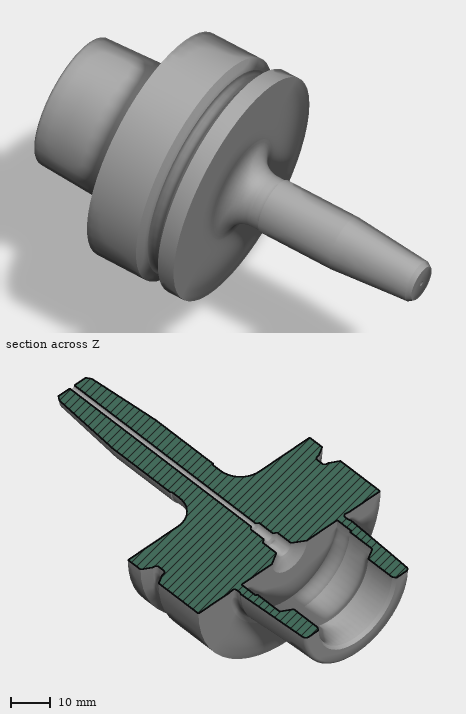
import cadquery as cq
import math


flange_radius = 31.5
flange_width = 26.0
groove_center = 18.0
groove_slot_half_width = 1.7
groove_floor_radius = 27.5
groove_corner_radius = 0.85
groove_slot_top_radius = 28.75
groove_wall_angle = 60.0

shank_length = 25.0
shank_end_radius = 18.0
shank_end_fillet = 1.0
taper_slope = 1 / 20
taper_large_x = -2.4

neck_radius = 18.8
neck_start_x = -1.6
undercut_fillet = 0.8
undercut_depth = 0.2
undercut_outer_radius = 20.8

stem_fillet = 7.0
stem_neck_radius = 7.1
stem_radius = 7.43
stem_start_x = 35.8
stem_taper_x = 57.0
stem_length = 80.0
tip_radius = 5.65
tip_chamfer_length = 1.3
tip_face_radius = 4.75

mouth_radius = 13.45
mouth_chamfer_length = 1.0
land_radius = 12.85
land_depth = 9.8
cavity_radius = 16.0
cavity_depth = 19.9
relief_radius = 16.5
bore_depth = 25.0
undercut_wall_angle = 60.0

drill_half_angle = 59.0
drill_radii = [6.0, 2.5, 1.5, 0.75]
drill_step_length = 5.0


def holder_profile():
    """Closed outline of the solid holder, from the axis at the shank end to the tip."""
    arc_middle = math.sqrt(0.5)
    taper_start_x = -shank_length + shank_end_fillet
    taper_large_radius = shank_end_radius + taper_slope * (taper_large_x - taper_start_x)
    wall_run = (flange_radius - groove_slot_top_radius) / math.tan(math.radians(groove_wall_angle))
    groove_half_width = groove_slot_half_width + wall_run
    slot_left = groove_center - groove_slot_half_width
    slot_right = groove_center + groove_slot_half_width
    corner_bulge = groove_corner_radius * (1 - arc_middle)
    corner_top = groove_floor_radius + groove_corner_radius
    stem_fillet_bulge = stem_fillet * (1 - arc_middle)
    end_bulge = shank_end_fillet * (1 - arc_middle)
    undercut_start_x = undercut_depth - undercut_fillet
    undercut_bulge = undercut_fillet * (1 - arc_middle)

    outline = cq.Workplane("XY").moveTo(-shank_length, 0)

    outline = (
        outline.lineTo(-shank_length, shank_end_radius - shank_end_fillet)
        .threePointArc(
            (-shank_length + end_bulge, shank_end_radius - end_bulge),
            (taper_start_x, shank_end_radius),
        )
        .lineTo(taper_large_x, taper_large_radius)
    )

    outline = (
        outline.lineTo(neck_start_x, neck_radius)
        .lineTo(undercut_start_x, neck_radius)
        .threePointArc(
            (undercut_depth - undercut_bulge, neck_radius + undercut_bulge),
            (undercut_depth, neck_radius + undercut_fillet),
        )
        .lineTo(0, undercut_outer_radius)
    )

    outline = (
        outline.lineTo(0, flange_radius)
        .lineTo(groove_center - groove_half_width, flange_radius)
        .lineTo(slot_left, groove_slot_top_radius)
        .lineTo(slot_left, corner_top)
        .threePointArc(
            (slot_left + corner_bulge, groove_floor_radius + corner_bulge),
            (slot_left + groove_corner_radius, groove_floor_radius),
        )
        .lineTo(slot_right - groove_corner_radius, groove_floor_radius)
        .threePointArc(
            (slot_right - corner_bulge, groove_floor_radius + corner_bulge),
            (slot_right, corner_top),
        )
        .lineTo(slot_right, groove_slot_top_radius)
        .lineTo(groove_center + groove_half_width, flange_radius)
        .lineTo(flange_width, flange_radius)
    )

    return (
        outline.lineTo(flange_width, stem_neck_radius + stem_fillet)
        .threePointArc(
            (flange_width + stem_fillet_bulge, stem_neck_radius + stem_fillet_bulge),
            (flange_width + stem_fillet, stem_neck_radius),
        )
        .lineTo(stem_start_x, stem_neck_radius)
        .lineTo(stem_start_x, stem_radius)
        .lineTo(stem_taper_x, stem_radius)
        .lineTo(stem_length - tip_chamfer_length, tip_radius)
        .lineTo(stem_length, tip_face_radius)
        .lineTo(stem_length, 0)
        .close()
    )


def bore_profile():
    """Closed outline of the clamping bore and the stepped coolant passage behind it."""
    mouth_x = -shank_length
    land_end_x = mouth_x + land_depth
    cavity_wall_run = (cavity_radius - land_radius) / math.tan(math.radians(undercut_wall_angle))
    cavity_end_x = mouth_x + cavity_depth
    floor_x = mouth_x + bore_depth

    outline = (
        cq.Workplane("XY")
        .moveTo(mouth_x, 0)
        .lineTo(mouth_x, mouth_radius)
        .lineTo(mouth_x + mouth_chamfer_length, land_radius)
        .lineTo(land_end_x, land_radius)
        .lineTo(land_end_x + cavity_wall_run, cavity_radius)
        .lineTo(cavity_end_x, cavity_radius)
        .lineTo(cavity_end_x, relief_radius)
        .lineTo(floor_x, relief_radius)
        .lineTo(floor_x, drill_radii[0])
    )

    x = floor_x
    for wide, narrow in zip(drill_radii, drill_radii[1:]):
        x += (wide - narrow) / math.tan(math.radians(drill_half_angle))
        outline = outline.lineTo(x, narrow)
        x += drill_step_length
        outline = outline.lineTo(x, narrow)
    return outline.lineTo(stem_length, drill_radii[-1]).lineTo(stem_length, 0).close()


def revolve_about_x(profile):
    return profile.revolve(360, (0, 0, 0), (1, 0, 0))


result = revolve_about_x(holder_profile()).cut(revolve_about_x(bore_profile()))